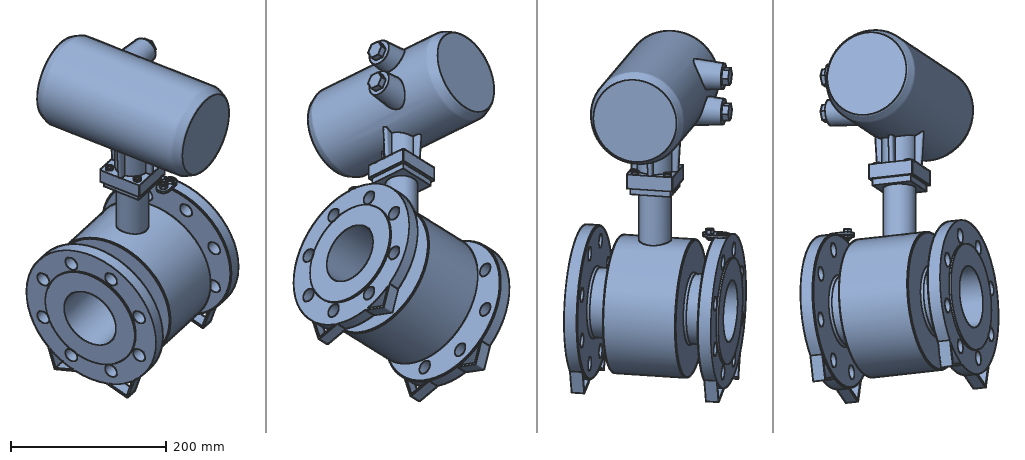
import cadquery as cq
import math


face_to_face = 200.0
bore_diameter = 80.0
pipe_diameter = 90.5
raised_face_diameter = 138.0
raised_face_height = 2.5
flange_diameter = 200.0
flange_thickness = 18.0
flange_chamfer = 1.5
bolt_circle_diameter = 160.0
bolt_hole_diameter = 18.5
bolt_hole_count = 8
drum_diameter = 179.5
drum_length = 97.0
drum_chamfer = 1.5
weld_width = 3.5
weld_height = 2.0

foot_tip_reach = 121.2
foot_tip_fillet = 2.0
foot_tilt_angle = 27.7
foot_leg = 33.5
foot_wall = 2.5
foot_width = 16.5

stem_diameter = 42.0
seat_side = 53.5
seat_bottom = 156.0
plate_side = 61.0
plate_bottom = 164.5
plate_top = 183.0
plate_corner_chamfer = 1.0
screw_offset = 21.5
screw_diameter = 10.0
screw_height = 2.5
socket_diameter = 5.5
socket_depth = 1.0

neck_diameter = 46.0
rib_count = 4
rib_thickness = 6.5
rib_reach_bottom = 31.0
rib_lean_angle = 3.5

housing_x = 1.0
housing_length = 224.0
housing_diameter = 123.5
housing_top = 342.0
cover_length = 13.5
cover_shoulder_diameter = 122.0
cover_shoulder_length = 11.2
cover_lip_diameter = 113.0
cover_lip_length = 2.0
cover_face_diameter = 110.0

gland_x = -35.0
gland_spacing = 47.5
gland_end_y = 82.5
gland_end_diameter = 33.5
gland_taper_angle = 5
plug_flats = 20.0
plug_length = 8.5

lug_length = 33.5
lug_width = 18.0
lug_thickness = 3.0
lug_bottom = 99.5
lug_hole_diameter = 8.0
lug_counterbore_diameter = 12.0
lug_counterbore_depth = 1.5
lug_bolt_flats = 9.5
lug_socket_diameter = 5.5
lug_socket_depth = 3.0
lug_bolt_height = 5.5
lug_nut_height = 2.5
lug_shank_diameter = 6.5
lug_shank_length = 6.0
lug_shank_chamfer = 1.5

half_length = face_to_face / 2
flange_outer_y = half_length - raised_face_height
flange_inner_y = flange_outer_y - flange_thickness
housing_z = housing_top - housing_diameter / 2
hex_ratio = 2 / math.sqrt(3)


def turned_about_y(profile):
    """Revolve (radius, y) points about the pipe axis."""
    return cq.Workplane("XY").polyline(profile).close().revolve(360, (0, 0, 0), (0, 1, 0))


def rod_z(diameter, bottom, top, x=0.0, y=0.0):
    """Upright cylinder between two heights."""
    return cq.Workplane("XY", origin=(x, y, bottom)).circle(diameter / 2).extrude(top - bottom)


def hex_z(flats, bottom, top, y):
    """Upright hexagon with its corners toward +Y and -Y."""
    hexagon = cq.Workplane("XY").polygon(6, flats * hex_ratio).extrude(top - bottom)
    return hexagon.rotate((0, 0, 0), (0, 0, 1), 90).translate((0, y, bottom))


def square_plate(side, bottom, top):
    """Square block centred on the stem axis."""
    return cq.Workplane("XY", origin=(0, 0, bottom)).rect(side, side).extrude(top - bottom)


def coil_drum():
    """Drum around the middle of the pipe, with chamfered rims."""
    drum = cq.Workplane("XZ", origin=(0, drum_length / 2, 0)).circle(drum_diameter / 2).extrude(drum_length)
    return drum.edges().chamfer(drum_chamfer)


def pipe_end():
    """The +Y pipe stub and flange, from the drum end to the sealing face."""
    pipe = pipe_diameter / 2
    weld = pipe + weld_height
    flange = flange_diameter / 2
    face = raised_face_diameter / 2
    drum_end = drum_length / 2
    return turned_about_y([
        (0, drum_end),
        (weld, drum_end),
        (pipe, drum_end + weld_width),
        (pipe, flange_inner_y - weld_width),
        (weld, flange_inner_y),
        (flange - flange_chamfer, flange_inner_y),
        (flange, flange_inner_y + flange_chamfer),
        (flange, flange_outer_y),
        (face, flange_outer_y),
        (face, half_length),
        (0, half_length),
    ])


def bolt_holes():
    """Cutters for the ring of bolt holes through the +Y flange."""
    return (
        cq.Workplane("XZ", origin=(0, half_length, 0))
        .polarArray(bolt_circle_diameter / 2, 180 / bolt_hole_count, 360, bolt_hole_count)
        .circle(bolt_hole_diameter / 2)
        .extrude(half_length - flange_inner_y)
    )


def bore():
    """Cutter for the flow passage along the full length."""
    return cq.Workplane("XZ", origin=(0, half_length, 0)).circle(bore_diameter / 2).extrude(face_to_face)


def foot(side):
    """Angle under the +Y flange, tip pointing outward, on the -X (-1) or +X (+1) side."""
    inner_tip = foot_wall * math.sqrt(2)
    reach = foot_leg / math.sqrt(2)
    wall_step = foot_wall / math.sqrt(2)
    section = [
        (0, 0),
        (reach, reach),
        (reach - wall_step, reach + wall_step),
        (0, inner_tip),
        (-reach + wall_step, reach + wall_step),
        (-reach, reach),
    ]
    return (
        cq.Workplane("XZ", origin=(0, flange_outer_y, 0))
        .polyline(section)
        .close()
        .extrude(foot_width)
        .edges("<Z")
        .fillet(foot_tip_fillet)
        .translate((0, 0, -foot_tip_reach))
        .rotate((0, 0, 0), (0, 1, 0), -side * foot_tilt_angle)
    )


def plate_screw(x, y):
    """Socket-head screw on the connection plate."""
    head_top = plate_top + screw_height
    head = rod_z(screw_diameter, plate_top, head_top, x, y)
    return head.cut(rod_z(socket_diameter, head_top - socket_depth, head_top, x, y))


def neck_rib():
    """Upright rib on the +X side, with a full-round outer edge that leans outward."""
    edge_radius = rib_thickness / 2
    edge_x = rib_reach_bottom - edge_radius
    rise = housing_z - plate_top
    edge_x_top = edge_x + rise * math.tan(math.radians(rib_lean_angle))
    web = (
        cq.Workplane("XZ", origin=(0, 0, plate_top))
        .polyline([(0, 0), (edge_x, 0), (edge_x_top, rise), (0, rise)])
        .close()
        .extrude(edge_radius, both=True)
    )
    edge = rod_z(rib_thickness, -rib_thickness, rise).rotate((0, 0, 0), (0, 1, 0), rib_lean_angle)
    rib = web.union(edge.translate((edge_x, 0, plate_top)))
    return rib.intersect(square_plate(housing_diameter, plate_top, housing_z))


def neck():
    """Round neck with evenly spaced ribs."""
    body = rod_z(neck_diameter, plate_top, housing_z)
    rib = neck_rib()
    for index in range(rib_count):
        body = body.union(rib.rotate((0, 0, 0), (0, 0, 1), 360 * index / rib_count))
    return body


def housing():
    """Closed housing drum with a stepped conical cover at each end."""
    end = housing_length / 2
    barrel = housing_diameter / 2
    shoulder = cover_shoulder_diameter / 2
    lip = cover_lip_diameter / 2
    face = cover_face_diameter / 2
    profile = [
        (-end, 0),
        (-end, face),
        (-end + cover_lip_length, lip),
        (-end + cover_shoulder_length, shoulder),
        (-end + cover_length, barrel),
        (end - cover_length, barrel),
        (end - cover_shoulder_length, shoulder),
        (end - cover_lip_length, lip),
        (end, face),
        (end, 0),
    ]
    drum = cq.Workplane("XZ").polyline(profile).close().revolve(360, (0, 0, 0), (1, 0, 0))
    return drum.translate((housing_x, 0, housing_z))


def cable_gland(z):
    """Tapered boss on the back of the housing, closed by a hexagonal plug."""
    boss = (
        cq.Workplane("XZ", origin=(gland_x, gland_end_y, z))
        .circle(gland_end_diameter / 2)
        .extrude(gland_end_y, taper=-gland_taper_angle)
    )
    plug = (
        cq.Workplane("XZ", origin=(gland_x, gland_end_y + plug_length, z))
        .polygon(6, plug_flats * hex_ratio)
        .extrude(plug_length)
    )
    return boss.union(plug)


def grounding_lug():
    """Flat lug with a hole over the flange rim and a bolt and nut at the free end."""
    lug_y = flange_outer_y - lug_length / 2
    pitch = (lug_length - lug_width) / 2
    bolt_y = lug_y - pitch
    top = lug_bottom + lug_thickness
    strip = (
        cq.Workplane("XY", origin=(0, lug_y, lug_bottom))
        .slot2D(lug_length, lug_width, 90)
        .extrude(lug_thickness)
    )
    hole_y = lug_y + pitch
    strip = strip.cut(rod_z(lug_hole_diameter, lug_bottom, top, 0, hole_y))
    strip = strip.cut(rod_z(lug_counterbore_diameter, top - lug_counterbore_depth, top, 0, hole_y))
    head = hex_z(lug_bolt_flats, top, top + lug_bolt_height, bolt_y)
    nut = hex_z(lug_bolt_flats, lug_bottom - lug_nut_height, lug_bottom, bolt_y)
    head_top = top + lug_bolt_height
    head = head.cut(rod_z(lug_socket_diameter, head_top - lug_socket_depth, head_top, 0, bolt_y))
    shank = rod_z(lug_shank_diameter, lug_bottom - lug_shank_length, lug_bottom, 0, bolt_y)
    shank = shank.faces("<Z").chamfer(lug_shank_chamfer)
    return strip.union(head).union(nut).union(shank)


end_piece = pipe_end().cut(bolt_holes())
for side in (-1, 1):
    end_piece = end_piece.union(foot(side))
result = coil_drum().union(end_piece).union(end_piece.mirror("XZ"))

result = result.union(rod_z(stem_diameter, 0, seat_bottom))
result = result.cut(bore())
result = result.union(square_plate(seat_side, seat_bottom, plate_bottom))
plate = square_plate(plate_side, plate_bottom, plate_top)
result = result.union(plate.edges("|Z").chamfer(plate_corner_chamfer))
for screw_x in (-screw_offset, screw_offset):
    for screw_y in (-screw_offset, screw_offset):
        result = result.union(plate_screw(screw_x, screw_y))
result = result.union(neck())

result = result.union(housing())
for direction in (-1, 1):
    result = result.union(cable_gland(housing_z + direction * gland_spacing / 2))
result = result.union(grounding_lug())